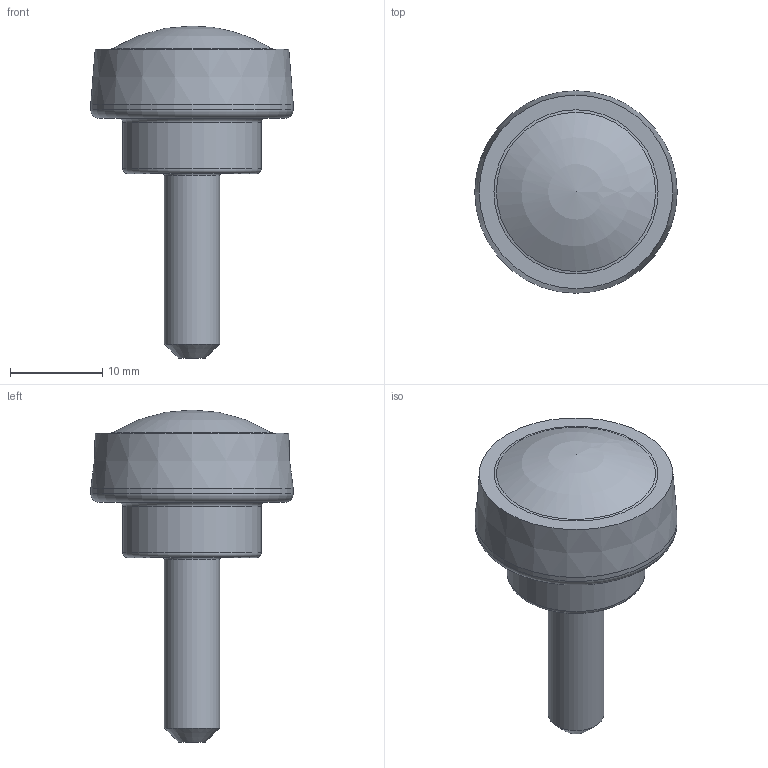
import cadquery as cq
import math

shaft_length = 20.0
hub_height = 6.0
head_height = 7.5
dome_height = 2.5

shaft_radius = 3.0
tip_radius = 1.5
hub_radius = 7.5
head_radius = 10.98
head_top_radius = 10.5
dome_base_radius = 8.9

tip_height = shaft_radius - tip_radius
shaft_root_fillet = 0.2
hub_fillet = 0.5
head_fillet = 0.95
head_band_height = 0.55
dome_rim_width = 0.27
dome_rim_rise = 0.05

tip_z = -shaft_length
head_bottom_z = hub_height
band_bottom_z = head_bottom_z + head_fillet
band_top_z = band_bottom_z + head_band_height
head_top_z = head_bottom_z + head_height
dome_top_z = head_top_z + dome_height
dome_edge_radius = dome_base_radius - dome_rim_width
dome_edge_z = head_top_z + dome_rim_rise

DIAGONAL = math.sqrt(0.5)


def sphere_point(radius, edge_radius, edge_z, top_z):
    """Point at the given radius on the spherical cap from an edge circle to its apex."""
    rise = top_z - edge_z
    sphere_radius = (edge_radius**2 + rise**2) / (2 * rise)
    return radius, top_z - sphere_radius + math.sqrt(sphere_radius**2 - radius**2)


def round_point(centre_x, centre_z, radius, side_x, side_z):
    """Middle point of a quarter round on the given side of its centre."""
    offset = radius * DIAGONAL
    return centre_x + side_x * offset, centre_z + side_z * offset


def knob_profile():
    """Closed half section in the XZ plane, from the shaft tip up to the dome."""
    hub_corner = hub_radius - hub_fillet
    hub_root = hub_radius + hub_fillet
    shaft_root = shaft_radius + shaft_root_fillet
    head_corner = head_radius - head_fillet
    dome_middle = sphere_point(dome_edge_radius / 2, dome_edge_radius, dome_edge_z, dome_top_z)

    return (
        cq.Workplane("XZ")
        .moveTo(0, tip_z)
        .lineTo(tip_radius, tip_z)
        .lineTo(shaft_radius, tip_z + tip_height)
        .lineTo(shaft_radius, -shaft_root_fillet)
        .threePointArc(
            round_point(shaft_root, -shaft_root_fillet, shaft_root_fillet, -1, 1),
            (shaft_root, 0),
        )
        .lineTo(hub_corner, 0)
        .threePointArc(
            round_point(hub_corner, hub_fillet, hub_fillet, 1, -1),
            (hub_radius, hub_fillet),
        )
        .lineTo(hub_radius, head_bottom_z - hub_fillet)
        .threePointArc(
            round_point(hub_root, head_bottom_z - hub_fillet, hub_fillet, -1, 1),
            (hub_root, head_bottom_z),
        )
        .lineTo(head_corner, head_bottom_z)
        .threePointArc(
            round_point(head_corner, band_bottom_z, head_fillet, 1, -1),
            (head_radius, band_bottom_z),
        )
        .lineTo(head_radius, band_top_z)
        .lineTo(head_top_radius, head_top_z)
        .lineTo(dome_base_radius, head_top_z)
        .lineTo(dome_edge_radius, dome_edge_z)
        .threePointArc(dome_middle, (0, dome_top_z))
        .close()
    )


result = knob_profile().revolve(360, (0, 0, 0), (0, 1, 0))